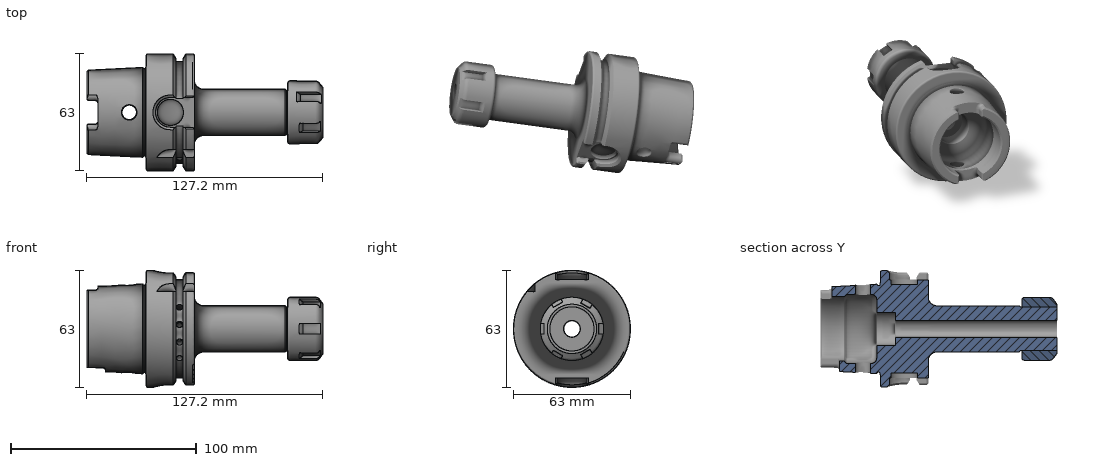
import cadquery as cq
import math


TAPER_END_X = -32.0
NUT_FRONT_X = 95.2

FLANGE_R = 31.5
FLANGE_LENGTH = 26.0
FLANGE_EDGE_R = 1.0
GROOVE_X = 17.9
GROOVE_FLOOR_R = 27.5
GROOVE_SHOULDER_R = 28.7
GROOVE_FLOOR_HALF = 1.75
GROOVE_MOUTH_HALF = 3.4

TAPER_BIG_R = 24.2
TAPER_SLOPE = 0.05
TAPER_BIG_X = -2.0
RELIEF_R = 23.5
RELIEF_START_X = -1.3
RELIEF_END_X = -0.4
RELIEF_MOUTH_R = 25.3
TAPER_EDGE = 0.8

MOUTH_R = 17.2
MOUTH_END_X = -19.4
CAVITY_R = 18.5
CAVITY_FLOOR_R = 15.7
CAVITY_FLOOR_X = -2.0
TUBE_BORE_R = 8.8
TUBE_BORE_END_X = 8.0
BORE_CHAMFER = 0.5
THROUGH_R = 4.4
CROSS_HOLE_X = -9.15
CROSS_HOLE_R = 3.9
CROSS_HOLE_CHAMFER = 0.25

DRIVE_HALF_WIDTH = 6.3
DRIVE_EDGE_R = 2.2
DRIVE_CORNER_R = 1.5
DRIVE_DEPTH_TOP = 6.0
DRIVE_DEPTH_BOTTOM = 10.0

KEY_X = 13.0
KEY_HALF_WIDTH = 8.0
KEY_FLOOR_Z = 26.5
KEY_FRONT_CHAMFER = 1.4
KEY_BACK_CHAMFER = 0.9
KEY_RECESS_R = 7.05
KEY_RECESS_DEPTH = 2.5

NOTCH_LEVEL = 20.0
NOTCH_CUTTER_R = 8.25
NOTCH_X = 13.0

BALANCE_R = 1.65
BALANCE_DEPTH = 8.0
DRILL_POINT_HALF_ANGLE = 59.0
BALANCE_ANGLES = [25, 5, -15, -35]

NECK_R = 12.5
NECK_FILLET_R = 5.0
NECK_FILLET_END_X = 30.8
NECK_CHAMFER = 0.6
NECK_END_X = 75.4

NUT_BACK_X = 76.1
NUT_R = 17.05
NUT_BACK_EDGE_R = 1.5
NUT_BEVEL_LENGTH = 2.8
NUT_FRONT_R = 13.3
NUT_BEVEL_BLEND_R = 2.6
NUT_SLOT_WIDTH = 5.75
NUT_SLOT_RAMP = 2.15
NUT_SLOT_ANGLES = [-60, 0, 60]
SHALLOW_SLOT_X = 82.2
SHALLOW_SLOT_FLOOR_R = 15.0
DEEP_SLOT_X = 80.8
DEEP_SLOT_FLOOR_R = 14.4

BOX_SLACK = 0.01

NOSE_R = NECK_R - NECK_CHAMFER
TAPER_SMALL_R = TAPER_BIG_R - TAPER_SLOPE * (TAPER_BIG_X - TAPER_END_X)


def spin(profile):
    """Turn an (x, radius) outline about the X axis."""
    return profile.close().revolve(360, (0, 0, 0), (1, 0, 0))


def turned_over(cutter):
    return cutter.rotate((0, 0, 0), (1, 0, 0), 180)


def holder_blank():
    """Solid taper, flange, neck and nose before any bores or slots."""
    fillet_rise = NECK_FILLET_END_X - FLANGE_LENGTH
    fillet_centre_r = NECK_R + NECK_FILLET_R
    fillet_top_r = fillet_centre_r - math.sqrt(NECK_FILLET_R**2 - fillet_rise**2)
    profile = (
        cq.Workplane("XY")
        .moveTo(TAPER_END_X, 0)
        .lineTo(TAPER_END_X, TAPER_SMALL_R - TAPER_EDGE)
        .lineTo(TAPER_END_X + TAPER_EDGE, TAPER_SMALL_R + TAPER_SLOPE * TAPER_EDGE)
        .lineTo(TAPER_BIG_X, TAPER_BIG_R)
        .lineTo(RELIEF_START_X, RELIEF_R)
        .lineTo(RELIEF_END_X, RELIEF_R)
        .lineTo(0, RELIEF_MOUTH_R)
        .lineTo(0, FLANGE_R - FLANGE_EDGE_R)
        .radiusArc((FLANGE_EDGE_R, FLANGE_R), FLANGE_EDGE_R)
        .lineTo(GROOVE_X - GROOVE_MOUTH_HALF, FLANGE_R)
        .lineTo(GROOVE_X - GROOVE_FLOOR_HALF, GROOVE_SHOULDER_R)
        .lineTo(GROOVE_X - GROOVE_FLOOR_HALF, GROOVE_FLOOR_R)
        .lineTo(GROOVE_X + GROOVE_FLOOR_HALF, GROOVE_FLOOR_R)
        .lineTo(GROOVE_X + GROOVE_FLOOR_HALF, GROOVE_SHOULDER_R)
        .lineTo(GROOVE_X + GROOVE_MOUTH_HALF, FLANGE_R)
        .lineTo(FLANGE_LENGTH - FLANGE_EDGE_R, FLANGE_R)
        .radiusArc((FLANGE_LENGTH, FLANGE_R - FLANGE_EDGE_R), FLANGE_EDGE_R)
        .lineTo(FLANGE_LENGTH, fillet_top_r)
        .radiusArc((NECK_FILLET_END_X, NECK_R), -NECK_FILLET_R)
        .lineTo(NECK_END_X - NECK_CHAMFER, NECK_R)
        .lineTo(NECK_END_X, NOSE_R)
        .lineTo(NUT_FRONT_X, NOSE_R)
        .lineTo(NUT_FRONT_X, 0)
    )
    return spin(profile)


def cavity():
    """Stepped hollow from the taper mouth through to the nose end."""
    widening = CAVITY_R - MOUTH_R
    corner_r = CAVITY_R - CAVITY_FLOOR_R
    profile = (
        cq.Workplane("XY")
        .moveTo(TAPER_END_X, 0)
        .lineTo(TAPER_END_X, MOUTH_R + TAPER_EDGE)
        .lineTo(TAPER_END_X + TAPER_EDGE, MOUTH_R)
        .lineTo(MOUTH_END_X, MOUTH_R)
        .lineTo(MOUTH_END_X + widening, CAVITY_R)
        .lineTo(CAVITY_FLOOR_X - corner_r, CAVITY_R)
        .radiusArc((CAVITY_FLOOR_X, CAVITY_FLOOR_R), corner_r)
        .lineTo(CAVITY_FLOOR_X, TUBE_BORE_R + BORE_CHAMFER)
        .lineTo(CAVITY_FLOOR_X + BORE_CHAMFER, TUBE_BORE_R)
        .lineTo(TUBE_BORE_END_X, TUBE_BORE_R)
        .lineTo(TUBE_BORE_END_X, THROUGH_R + BORE_CHAMFER)
        .lineTo(TUBE_BORE_END_X + BORE_CHAMFER, THROUGH_R)
        .lineTo(NUT_FRONT_X, THROUGH_R)
        .lineTo(NUT_FRONT_X, 0)
    )
    return spin(profile)


def drive_slot(depth):
    """Cutter for the slot on the +Z side; its walls flare out into the taper surface."""
    centre_y = DRIVE_HALF_WIDTH + DRIVE_EDGE_R
    centre_z = math.sqrt((TAPER_SMALL_R - DRIVE_EDGE_R) ** 2 - centre_y**2)
    reach = TAPER_SMALL_R / (TAPER_SMALL_R - DRIVE_EDGE_R)
    flare_y = centre_y * reach
    flare_z = centre_z * reach
    top_z = TAPER_BIG_R + DRIVE_EDGE_R
    cutter = (
        cq.Workplane("YZ", origin=(TAPER_END_X, 0, 0))
        .moveTo(-DRIVE_HALF_WIDTH, 0)
        .lineTo(DRIVE_HALF_WIDTH, 0)
        .lineTo(DRIVE_HALF_WIDTH, centre_z)
        .radiusArc((flare_y, flare_z), DRIVE_EDGE_R)
        .lineTo(flare_y, top_z)
        .lineTo(-flare_y, top_z)
        .lineTo(-flare_y, flare_z)
        .radiusArc((-DRIVE_HALF_WIDTH, centre_z), DRIVE_EDGE_R)
        .close()
        .extrude(depth)
    )
    cutter = cutter.faces(">X").edges("not(>Z or <Z)").fillet(DRIVE_CORNER_R)
    mouth_bevel = (
        cq.Workplane("XY")
        .moveTo(TAPER_END_X, DRIVE_HALF_WIDTH + TAPER_EDGE)
        .lineTo(TAPER_END_X + TAPER_EDGE, DRIVE_HALF_WIDTH)
        .lineTo(TAPER_END_X + TAPER_EDGE, -DRIVE_HALF_WIDTH)
        .lineTo(TAPER_END_X, -DRIVE_HALF_WIDTH - TAPER_EDGE)
        .close()
        .extrude(top_z)
    )
    return cutter.union(mouth_bevel)


def keyway():
    """Cutter on the +Z side: round-ended, open through the flange back."""
    height = FLANGE_R - KEY_FLOOR_Z
    slot = (
        cq.Workplane("XY", origin=(0, 0, KEY_FLOOR_Z))
        .moveTo(FLANGE_LENGTH, -KEY_HALF_WIDTH)
        .lineTo(FLANGE_LENGTH, KEY_HALF_WIDTH)
        .lineTo(KEY_X, KEY_HALF_WIDTH)
        .threePointArc((KEY_X - KEY_HALF_WIDTH, 0), (KEY_X, -KEY_HALF_WIDTH))
        .close()
        .extrude(height)
    )
    recess = (
        cq.Workplane("XY", origin=(KEY_X, 0, KEY_FLOOR_Z - KEY_RECESS_DEPTH))
        .circle(KEY_RECESS_R)
        .extrude(KEY_RECESS_DEPTH)
    )
    return slot.union(recess)


def chamfer_rims(body, start_x, end_x, half_width, inner_z, size):
    """Chamfer the edges in a box above the axis and in its mirror image below."""
    outer_z = FLANGE_R + BOX_SLACK
    for low, high in ((inner_z, outer_z), (-outer_z, -inner_z)):
        rim = cq.selectors.BoxSelector(
            (start_x - BOX_SLACK, -half_width - BOX_SLACK, low),
            (end_x + BOX_SLACK, half_width + BOX_SLACK, high),
            boundingbox=True,
        )
        body = body.edges(rim).chamfer(size)
    return body


def cut_cross_hole(body):
    """Hole along Z through both walls of the taper, with broken outer rims."""
    drill = (
        cq.Workplane("XY", origin=(CROSS_HOLE_X, 0, -FLANGE_R))
        .circle(CROSS_HOLE_R)
        .extrude(2 * FLANGE_R)
    )
    start_x = CROSS_HOLE_X - CROSS_HOLE_R
    end_x = CROSS_HOLE_X + CROSS_HOLE_R
    inner_z = (CAVITY_R + TAPER_SMALL_R) / 2
    return chamfer_rims(body.cut(drill), start_x, end_x, CROSS_HOLE_R, inner_z, CROSS_HOLE_CHAMFER)


def cut_keyways(body):
    """Keyways at +Z and -Z, chamfered on both sides of the gripper groove."""
    body = body.cut(keyway()).cut(turned_over(keyway()))
    inner_z = (KEY_FLOOR_Z + GROOVE_SHOULDER_R) / 2
    front_end_x = GROOVE_X - GROOVE_MOUTH_HALF
    back_start_x = GROOVE_X + GROOVE_MOUTH_HALF
    back_end_x = FLANGE_LENGTH - FLANGE_EDGE_R
    body = chamfer_rims(body, 0, front_end_x, KEY_HALF_WIDTH, inner_z, KEY_FRONT_CHAMFER)
    return chamfer_rims(body, back_start_x, back_end_x, KEY_HALF_WIDTH, inner_z, KEY_BACK_CHAMFER)


def orientation_notch():
    """Round-ended corner cut in the flange between -Y and +Z, open through the flange back."""
    centre_y = -NOTCH_LEVEL - NOTCH_CUTTER_R
    height = FLANGE_R - NOTCH_LEVEL
    plane = cq.Workplane("XY", origin=(NOTCH_X, centre_y, NOTCH_LEVEL))
    run = FLANGE_LENGTH - NOTCH_X
    round_end = plane.circle(NOTCH_CUTTER_R).extrude(height)
    straight = plane.center(run / 2, 0).rect(run, 2 * NOTCH_CUTTER_R).extrude(height)
    return round_end.union(straight)


def balance_hole(angle):
    """Drilled hole pointing at the axis, raised by the angle from -Y towards +Z."""
    tip = BALANCE_R / math.tan(math.radians(DRILL_POINT_HALF_ANGLE))
    bottom_r = GROOVE_FLOOR_R - BALANCE_DEPTH
    drill = spin(
        cq.Workplane("XY")
        .moveTo(bottom_r - tip, 0)
        .lineTo(bottom_r, BALANCE_R)
        .lineTo(FLANGE_R, BALANCE_R)
        .lineTo(FLANGE_R, 0)
    )
    aimed = drill.rotate((0, 0, 0), (0, 0, 1), -90).rotate((0, 0, 0), (1, 0, 0), -angle)
    return aimed.translate((GROOVE_X, 0, 0))


def make_holder():
    body = holder_blank().cut(cavity())
    body = body.cut(drive_slot(DRIVE_DEPTH_TOP))
    body = body.cut(turned_over(drive_slot(DRIVE_DEPTH_BOTTOM)))
    body = cut_cross_hole(body)
    body = cut_keyways(body)
    body = body.cut(orientation_notch())
    for angle in BALANCE_ANGLES:
        body = body.cut(balance_hole(angle))
    return body


def nut_slot(start_x, floor_r, angle):
    """Spanner slot with a ramped end, centred on -Y and raised by the angle towards +Z."""
    cutter = (
        cq.Workplane("XY")
        .moveTo(start_x, -NUT_R)
        .lineTo(start_x + NUT_SLOT_RAMP, -floor_r)
        .lineTo(NUT_FRONT_X, -floor_r)
        .lineTo(NUT_FRONT_X, -NUT_R)
        .close()
        .extrude(NUT_SLOT_WIDTH / 2, both=True)
    )
    return cutter.rotate((0, 0, 0), (1, 0, 0), -angle)


def make_nut():
    bevel_angle = math.atan2(NUT_R - NUT_FRONT_R, NUT_BEVEL_LENGTH)
    corner_x = NUT_FRONT_X - NUT_BEVEL_LENGTH
    blend = NUT_BEVEL_BLEND_R * math.tan(bevel_angle / 2)
    blend_end = (corner_x + blend * math.cos(bevel_angle), NUT_R - blend * math.sin(bevel_angle))
    nut = spin(
        cq.Workplane("XY")
        .moveTo(NUT_BACK_X, NOSE_R)
        .lineTo(NUT_BACK_X, NUT_R - NUT_BACK_EDGE_R)
        .radiusArc((NUT_BACK_X + NUT_BACK_EDGE_R, NUT_R), NUT_BACK_EDGE_R)
        .lineTo(corner_x - blend, NUT_R)
        .radiusArc(blend_end, NUT_BEVEL_BLEND_R)
        .lineTo(NUT_FRONT_X, NUT_FRONT_R)
        .lineTo(NUT_FRONT_X, NOSE_R)
    )
    for angle in NUT_SLOT_ANGLES:
        nut = nut.cut(nut_slot(SHALLOW_SLOT_X, SHALLOW_SLOT_FLOOR_R, angle))
        nut = nut.cut(nut_slot(DEEP_SLOT_X, DEEP_SLOT_FLOOR_R, angle + 180))
    return nut


holder = make_holder()
nut = make_nut()
result = cq.Compound.makeCompound([holder.val(), nut.val()])